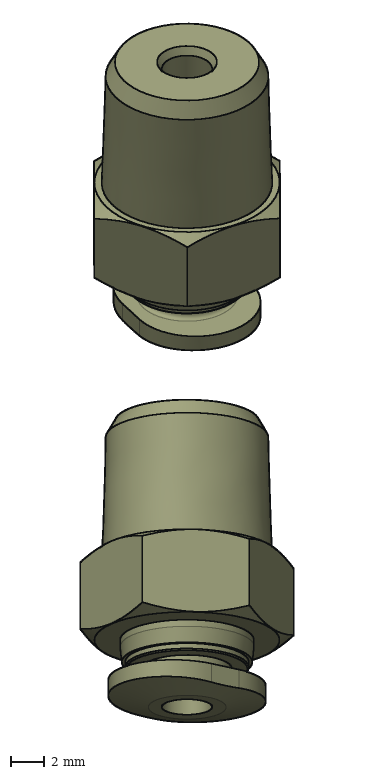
import cadquery as cq
import math

total_height = 17.9
button_top_z = 1.52
collar_bottom_z = 2.4
collar_step_z = 2.81
collar_taper_z = 3.8
hex_bottom_z = 4.19
hex_top_z = 9.38

hex_across_flats = 11.12
hex_across_corners = hex_across_flats / math.cos(math.radians(30))
hex_chamfer_circle = 11.06
hex_chamfer_angle = 30

spigot_base_diameter = 10.2
spigot_end_diameter = 9.74
spigot_tip_diameter = 8.61
spigot_chamfer_height = 1.0

collar_diameter = 8.0
collar_taper_diameter = 7.8
collar_lip_diameter = 7.4
collar_lip_chamfer = 0.09

neck_diameter = 5.37
neck_fillet = 0.35
button_length = 9.8
button_width = 7.79
button_face_diameter = 4.65
button_cone_angle = 12

bore_diameter = 3.0
bore_mouth_diameter = 3.58
bore_countersink_angle = 60


def revolve_profile(profile):
    """Turn a closed radius-height profile about the Z axis."""
    return profile.close().revolve(360, (0, 0, 0), (0, 1, 0))


def make_hex_nut():
    """Hexagon with flats facing X and conical chamfers at both ends."""
    nut = (
        cq.Workplane("XY", origin=(0, 0, hex_bottom_z))
        .polygon(6, hex_across_corners)
        .extrude(hex_top_z - hex_bottom_z)
        .rotate((0, 0, 0), (0, 0, 1), 30)
    )
    end_radius = hex_chamfer_circle / 2
    outer_radius = hex_across_corners / 2
    drop = (outer_radius - end_radius) * math.tan(math.radians(hex_chamfer_angle))
    envelope = revolve_profile(
        cq.Workplane("XZ")
        .moveTo(0, hex_bottom_z)
        .lineTo(end_radius, hex_bottom_z)
        .lineTo(outer_radius, hex_bottom_z + drop)
        .lineTo(outer_radius, hex_top_z - drop)
        .lineTo(end_radius, hex_top_z)
        .lineTo(0, hex_top_z)
    )
    return nut.intersect(envelope)


def make_spigot():
    """Tapered spigot standing on the nut."""
    chamfer_start_z = total_height - spigot_chamfer_height
    return revolve_profile(
        cq.Workplane("XZ")
        .moveTo(0, hex_top_z)
        .lineTo(spigot_base_diameter / 2, hex_top_z)
        .lineTo(spigot_end_diameter / 2, chamfer_start_z)
        .lineTo(spigot_tip_diameter / 2, total_height)
        .lineTo(0, total_height)
    )


def make_collar_and_neck():
    """Stepped collar, and the neck that flares onto the button."""
    neck_radius = neck_diameter / 2
    lip_radius = collar_lip_diameter / 2
    fillet_mid = neck_fillet * (1 - math.sqrt(0.5))
    return revolve_profile(
        cq.Workplane("XZ")
        .moveTo(0, button_top_z)
        .lineTo(neck_radius + neck_fillet, button_top_z)
        .threePointArc(
            (neck_radius + fillet_mid, button_top_z + fillet_mid),
            (neck_radius, button_top_z + neck_fillet),
        )
        .lineTo(neck_radius, collar_bottom_z)
        .lineTo(lip_radius - collar_lip_chamfer, collar_bottom_z)
        .lineTo(lip_radius, collar_bottom_z + collar_lip_chamfer)
        .lineTo(lip_radius, collar_step_z)
        .lineTo(collar_taper_diameter / 2, collar_step_z)
        .lineTo(collar_diameter / 2, collar_taper_z)
        .lineTo(collar_diameter / 2, hex_bottom_z)
        .lineTo(0, hex_bottom_z)
    )


def make_button():
    """Oblong button, long along X, with a shallow conical underside."""
    oblong = cq.Workplane("XY").slot2D(button_length, button_width).extrude(button_top_z)
    face_radius = button_face_diameter / 2
    rim_radius = button_length / 2
    rise = (rim_radius - face_radius) * math.tan(math.radians(button_cone_angle))
    envelope = revolve_profile(
        cq.Workplane("XZ")
        .lineTo(face_radius, 0)
        .lineTo(rim_radius, rise)
        .lineTo(rim_radius, button_top_z)
        .lineTo(0, button_top_z)
    )
    return oblong.intersect(envelope)


body = make_hex_nut().union(make_spigot()).union(make_collar_and_neck()).union(make_button())
result = (
    body.faces(">Z")
    .workplane(origin=(0, 0, total_height))
    .cskHole(bore_diameter, bore_mouth_diameter, bore_countersink_angle)
)